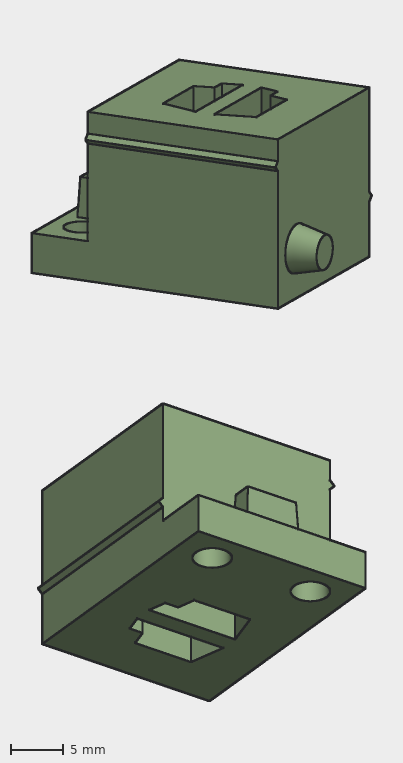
import cadquery as cq
import math

total_length = 29.5
pin_length = 3.0
block_length = 20.47
body_length = total_length - pin_length
flange_length = body_length - block_length
body_width = 19.5
body_height = 17.0
flange_height = 4.0
block_center_x = flange_length + block_length / 2

ridge_depth = 0.5
front_ridge_z = 14.3
back_ridge_z = 6.02

hole_diameter = 3.8
hole_x = 3.5
hole_offset_y = 5.72

key_height = 4.0
key_inset = 0.2
key_start_x = 1.5
key_head_length = 2.45
key_head_width = 6.02
key_stem_width = 3.0

window_inner = 1.0
window_step = 3.0
window_outer = 5.02
window_half_width = 5.02
window_shoulder_y = 3.0
window_slope = 1 / 4

pin_root_diameter = 4.9
pin_tip_diameter = 3.45
pin_z = 5.0


def make_body():
    flange = cq.Workplane("XY").box(body_length, body_width, flange_height, centered=(False, True, False))
    block = (
        cq.Workplane("XY")
        .box(block_length, body_width, body_height, centered=(False, True, False))
        .translate((flange_length, 0, 0))
    )
    return flange.union(block)


def make_ridge(side, apex_z):
    """Ridge on the -Y (side = -1) or +Y (side = 1) face."""
    face_y = side * body_width / 2
    return (
        cq.Workplane("YZ", origin=(flange_length, 0, 0))
        .moveTo(face_y, apex_z - ridge_depth)
        .lineTo(face_y + side * ridge_depth, apex_z)
        .lineTo(face_y, apex_z + ridge_depth)
        .close()
        .extrude(block_length)
    )


def make_key():
    """T-shaped key whose free sides lean inward and whose stem runs into the block."""
    draft_angle = math.degrees(math.atan(key_inset / key_height))
    stem_end_x = flange_length + 2 * key_inset
    half_head = key_head_width / 2
    half_stem = key_stem_width / 2
    head_end_x = key_start_x + key_head_length
    return (
        cq.Workplane("XY", origin=(0, 0, flange_height))
        .polyline([
            (key_start_x, -half_head),
            (head_end_x, -half_head),
            (head_end_x, -half_stem),
            (stem_end_x, -half_stem),
            (stem_end_x, half_stem),
            (head_end_x, half_stem),
            (head_end_x, half_head),
            (key_start_x, half_head),
        ])
        .close()
        .extrude(key_height, taper=draft_angle)
    )


def make_window(side):
    """Through window on the -X (side = -1) or +X (side = 1) half of the bar."""
    step_drop = window_slope * (window_step - window_inner)
    outer_drop = window_slope * (window_outer - window_step)
    points = [
        (window_inner, -window_half_width),
        (window_outer, -window_half_width + step_drop + outer_drop),
        (window_outer, window_shoulder_y - outer_drop),
        (window_step, window_shoulder_y),
        (window_step, window_half_width - step_drop),
        (window_inner, window_half_width),
    ]
    return (
        cq.Workplane("XY")
        .polyline([(block_center_x + side * x, y) for x, y in points])
        .close()
        .extrude(body_height)
    )


def make_pin():
    return cq.Workplane(
        cq.Solid.makeCone(
            pin_root_diameter / 2,
            pin_tip_diameter / 2,
            pin_length,
            pnt=cq.Vector(body_length, -hole_offset_y, pin_z),
            dir=cq.Vector(1, 0, 0),
        )
    )


def make_flange_holes():
    return (
        cq.Workplane("XY")
        .pushPoints([(hole_x, -hole_offset_y), (hole_x, hole_offset_y)])
        .circle(hole_diameter / 2)
        .extrude(flange_height)
    )


result = (
    make_body()
    .union(make_ridge(-1, front_ridge_z))
    .union(make_ridge(1, back_ridge_z))
    .union(make_key())
    .union(make_pin())
    .cut(make_flange_holes())
)
for window_side in (-1, 1):
    result = result.cut(make_window(window_side))